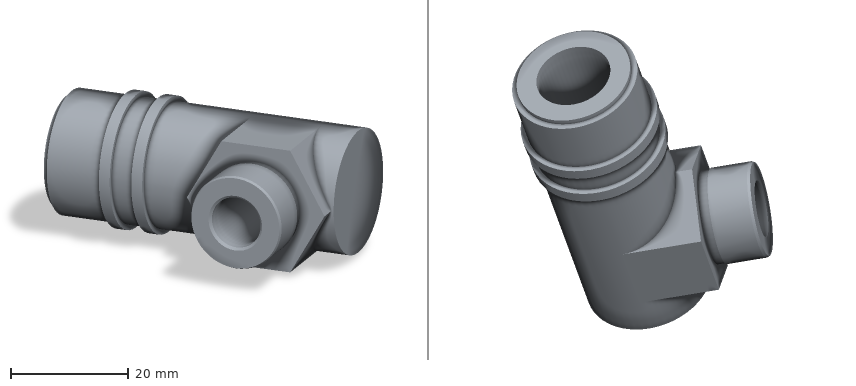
import cadquery as cq
import math


barrel_length = 54.0
barrel_diameter = 22.05
nose_length = 0.95
nose_diameter = 20.0

ring_diameter = 24.0
ring_width = 2.0
ring_starts = [11.0, 17.0]

branch_x = 40.8
hex_sides = 6
hex_across_flats = barrel_diameter
hex_across_corners = hex_across_flats / math.cos(math.pi / hex_sides)
hex_reach = 13.95
neck_diameter = 16.25
neck_length = 1.6
stud_diameter = 16.7
stud_reach = 23.0
stud_chamfer_length = 0.5
stud_chamfer_depth = (stud_diameter - neck_diameter) / 2

socket_diameter = 13.0
socket_depth = ring_starts[-1] + ring_width
bore_diameter = 9.0
bore_chamfer = 0.45


def cylinder_along_x(start, length, diameter):
    return cq.Workplane("YZ", origin=(start, 0, 0)).circle(diameter / 2).extrude(length)


def branch_plane(reach):
    """Plane across the branch axis, facing -Y, at a distance from the barrel axis."""
    return cq.Workplane("XZ", origin=(branch_x, -reach, 0))


def make_barrel():
    nose = cylinder_along_x(0, nose_length, nose_diameter)
    main = cylinder_along_x(nose_length, barrel_length - nose_length, barrel_diameter)
    return nose.union(main)


def make_branch():
    """Hexagon from the barrel axis outward, then the neck and the chamfered stud."""
    hexagon = branch_plane(0).polygon(hex_sides, hex_across_corners).extrude(hex_reach)
    neck = branch_plane(hex_reach).circle(neck_diameter / 2).extrude(neck_length)
    stud_start = hex_reach + neck_length
    stud = (
        branch_plane(stud_start)
        .circle(stud_diameter / 2)
        .extrude(stud_reach - stud_start)
        .faces("<Y")
        .chamfer(stud_chamfer_length, stud_chamfer_depth)
    )
    return hexagon.union(neck).union(stud)


def make_elbow_bore():
    """Round passage along the barrel that turns into the stud with a mitred corner."""
    path = cq.Workplane("XY").polyline([(0, 0), (branch_x, 0), (branch_x, -stud_reach)])
    return cq.Workplane("YZ").circle(bore_diameter / 2).sweep(path, transition="right")


def make_bore_mouth():
    """Cone that chamfers the bore at the stud end face."""
    return (
        branch_plane(stud_reach - bore_chamfer)
        .circle(bore_diameter / 2)
        .workplane(offset=bore_chamfer)
        .circle(bore_diameter / 2 + bore_chamfer)
        .loft()
    )


def make_housing():
    tube_socket = cylinder_along_x(0, socket_depth, socket_diameter)
    return (
        make_barrel()
        .union(make_branch())
        .cut(tube_socket)
        .cut(make_elbow_bore())
        .cut(make_bore_mouth())
    )


def make_ring(start):
    """Ring that fits closely around the barrel."""
    outside = cylinder_along_x(start, ring_width, ring_diameter)
    return outside.cut(cylinder_along_x(start, ring_width, barrel_diameter))


housing = make_housing()
rings = [make_ring(start) for start in ring_starts]

result = cq.Compound.makeCompound([housing.val(), *[ring.val() for ring in rings]])